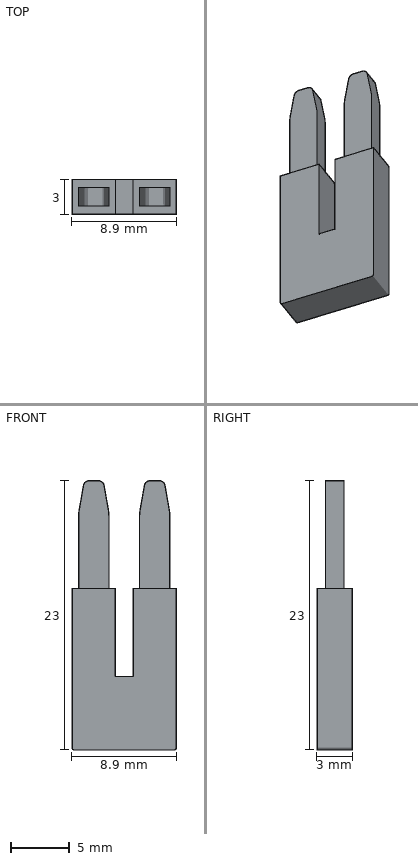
import cadquery as cq
import math

body_width = 8.9
body_depth = 3.0
body_height = 13.8
bottom_corner_radius = 0.2

slot_width = 1.5
slot_floor_height = 6.3

total_height = 23.0
pin_width = 2.6
pin_depth = 1.6
pin_pitch = (body_width + slot_width) / 2
taper_length = 2.75
taper_angle = 10.0
tip_radius = 0.5
shoulder_radius = 3.0


def make_body():
    """Block with rounded bottom corners and an open slot from the top."""
    block = cq.Workplane("XY").box(
        body_width, body_depth, body_height, centered=(True, True, False)
    )
    block = block.edges("|Y and <Z").fillet(bottom_corner_radius)
    slot = (
        cq.Workplane("XY")
        .workplane(offset=slot_floor_height)
        .box(slot_width, body_depth, body_height - slot_floor_height, centered=(True, True, False))
    )
    return block.cut(slot)


def make_pin(center_x):
    """Flat pin with a tapered tip, blended at the shoulders and rounded at the end."""
    half_width = pin_width / 2
    tip_half_width = half_width - taper_length * math.tan(math.radians(taper_angle))
    shoulder_height = total_height - taper_length
    outline = [
        (center_x - half_width, body_height),
        (center_x + half_width, body_height),
        (center_x + half_width, shoulder_height),
        (center_x + tip_half_width, total_height),
        (center_x - tip_half_width, total_height),
        (center_x - half_width, shoulder_height),
    ]
    pin = cq.Workplane("XZ").polyline(outline).close().extrude(pin_depth / 2, both=True)
    shoulders = cq.selectors.BoxSelector(
        (center_x - pin_width, -pin_depth, body_height + taper_length),
        (center_x + pin_width, pin_depth, total_height - taper_length / 2),
    )
    pin = pin.edges("|Y").edges(shoulders).fillet(shoulder_radius)
    return pin.edges("|Y and >Z").fillet(tip_radius)


result = make_body()
for side in (-1, 1):
    result = result.union(make_pin(side * pin_pitch / 2))